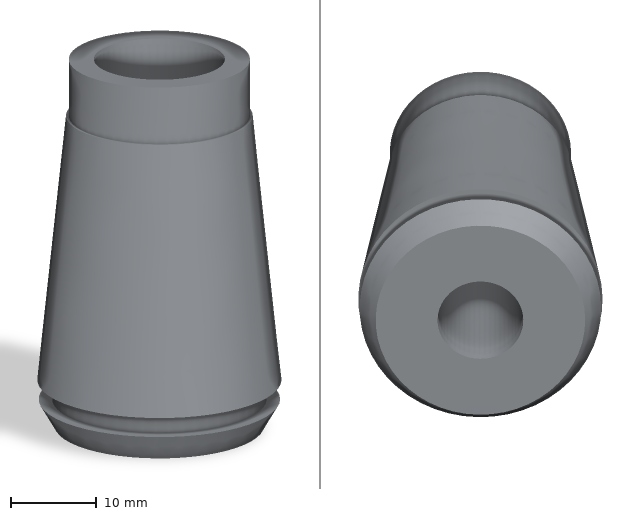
import cadquery as cq
import math

height = 45.0

foot_height = 3.25
foot_rim_radius = 14.1
foot_flare_angle = 30.0
foot_base_radius = foot_rim_radius - foot_height * math.tan(math.radians(foot_flare_angle))

groove_width = 2.4
groove_radius = 12.5
groove_top = foot_height + groove_width

body_base_diameter = 28.5
body_base_radius = body_base_diameter / 2
body_top_radius = 10.9

collar_height = 6.95
collar_radius = 10.58
collar_base = height - collar_height

bore_radius = 7.65
hole_radius = 5.0
seat_angle = 60.0
seat_height = (bore_radius - hole_radius) / math.tan(math.radians(seat_angle))
seat_top = height / 2
seat_base = seat_top - seat_height


def revolved_section():
    """Half section (radius, height) turned about the Z axis."""
    section = [
        (hole_radius, 0),
        (foot_base_radius, 0),
        (foot_rim_radius, foot_height),
        (groove_radius, foot_height),
        (groove_radius, groove_top),
        (body_base_radius, groove_top),
        (body_top_radius, collar_base),
        (collar_radius, collar_base),
        (collar_radius, height),
        (bore_radius, height),
        (bore_radius, seat_top),
        (hole_radius, seat_base),
    ]
    return cq.Workplane("XZ").polyline(section).close().revolve(360, (0, 0, 0), (0, 1, 0))


result = revolved_section()